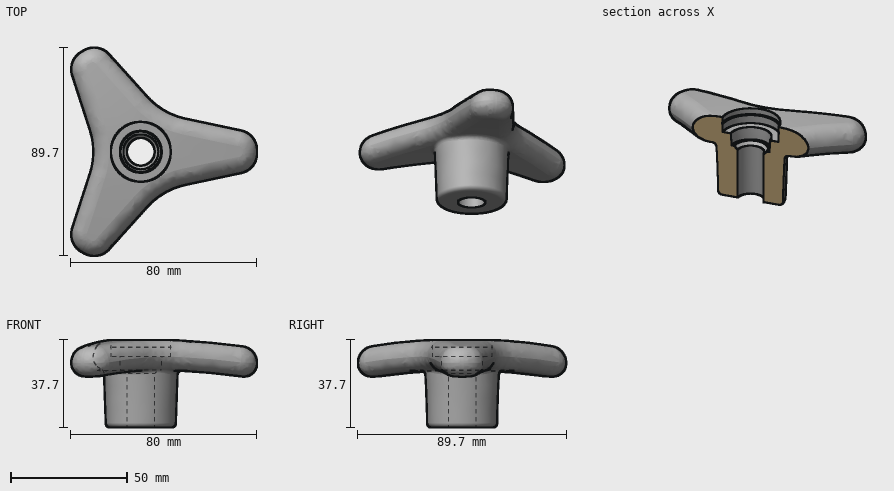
import cadquery as cq
import math

total_height = 37.7
arm_count = 3
arm_pitch = 360 / arm_count

arm_reach = 50.0
arm_taper = 12.0
root_half_width = 18.4
end_corner_radius = 8.7
waist_radius = 30.1

plate_thickness = 13.0
dome_radius = 322.6
upper_edge_round = 7.3
lower_edge_round = 5.7

hub_base_radius = 15.05
hub_draft = 2.0
hub_base_round = 2.0
hub_neck_round = 1.8

recess_radius = 25.6 / 2
recess_depth = 7.2
groove_depth = 3.0
groove_width = 0.4
groove_cut = 0.3
pocket_top_radius = 9.05
pocket_floor_radius = 8.7
pocket_depth = 5.7
countersink_radius = 7.5
bore_radius = 11.8 / 2

dome_rise = dome_radius - math.sqrt(dome_radius**2 - recess_radius**2)
dome_center_z = total_height + dome_rise - dome_radius
underside_radius = dome_radius - plate_thickness


def polar(radius, angle):
    """Plan point at an angle in degrees from +X."""
    return (radius * math.cos(math.radians(angle)), radius * math.sin(math.radians(angle)))


def arm_prism():
    """Upright prism with the rounded plan outline of the three arms."""
    slope = math.tan(math.radians(arm_taper))
    end_half_width = root_half_width - slope * arm_reach
    end_distance = math.hypot(arm_reach, end_half_width)
    end_angle = math.degrees(math.atan2(end_half_width, arm_reach))

    half_pitch = math.radians(arm_pitch / 2)
    waist_distance = root_half_width / (math.sin(half_pitch) + slope * math.cos(half_pitch))

    corners = []
    for i in range(arm_count):
        angle = i * arm_pitch
        corners.append(polar(end_distance, angle - end_angle))
        corners.append(polar(end_distance, angle + end_angle))
        corners.append(polar(waist_distance, angle + arm_pitch / 2))

    prism = cq.Workplane("XY").polyline(corners).close().extrude(2 * total_height)

    reach = waist_distance + end_half_width / 2
    waist_box = cq.selectors.BoxSelector((-reach, -reach, 0), (reach, reach, 2 * total_height))
    prism = prism.edges("|Z").edges(waist_box).fillet(waist_radius)

    for i in range(arm_count):
        for side in (-1, 1):
            x, y = polar(end_distance, i * arm_pitch + side * end_angle)
            corner = cq.selectors.NearestToPointSelector((x, y, total_height))
            prism = prism.edges("|Z").edges(corner).fillet(end_corner_radius)
    return prism


def dome(radius):
    """Ball about the dome centre, turned so that its seam and poles stay clear of the arms."""
    ball = cq.Workplane("XY").sphere(radius).rotate((0, 0, 0), (0, 1, 0), 90)
    return ball.translate((0, 0, dome_center_z))


def arms():
    """Domed plate of three drooping arms with fully rounded rims."""
    plate = arm_prism().intersect(dome(dome_radius)).cut(dome(underside_radius))
    plate = plate.faces("%SPHERE").faces(">Z").edges().fillet(upper_edge_round)
    return plate.faces("%SPHERE").faces("<Z").edges().fillet(lower_edge_round)


def hub():
    """Drafted boss under the arms, rounded at its base."""
    hub_top_z = total_height - plate_thickness / 2
    hub_top_radius = hub_base_radius + hub_top_z * math.tan(math.radians(hub_draft))
    profile = (
        cq.Workplane("XZ")
        .lineTo(hub_base_radius, 0)
        .lineTo(hub_top_radius, hub_top_z)
        .lineTo(0, hub_top_z)
        .close()
    )
    return profile.revolve(360, (0, 0), (0, 1)).faces("<Z").edges().fillet(hub_base_round)


def stepped_bore():
    """Space removed along the hub axis: recess with groove, drafted pocket, countersink, bore."""
    recess_z = total_height - recess_depth
    pocket_z = recess_z - pocket_depth
    groove_z = total_height - groove_depth
    countersink_z = pocket_z - (countersink_radius - bore_radius)
    clear_z = total_height + plate_thickness
    profile = cq.Workplane("XZ").polyline([
        (0, 0),
        (bore_radius, 0),
        (bore_radius, countersink_z),
        (countersink_radius, pocket_z),
        (pocket_floor_radius, pocket_z),
        (pocket_top_radius, recess_z),
        (recess_radius, recess_z),
        (recess_radius, groove_z - groove_width),
        (recess_radius + groove_cut, groove_z - groove_width),
        (recess_radius + groove_cut, groove_z),
        (recess_radius, groove_z),
        (recess_radius, clear_z),
        (0, clear_z),
    ]).close()
    return profile.revolve(360, (0, 0), (0, 1))


def knob():
    """Arms and hub joined, with the neck between them rounded."""
    body = arms().union(hub())
    neck_reach = hub_base_radius + 2 * hub_neck_round
    neck_box = cq.selectors.BoxSelector(
        (-neck_reach, -neck_reach, total_height - plate_thickness - hub_base_round),
        (neck_reach, neck_reach, total_height - plate_thickness / 2),
        boundingbox=True,
    )
    return body.edges(neck_box).fillet(hub_neck_round)


result = knob().cut(stepped_bore())